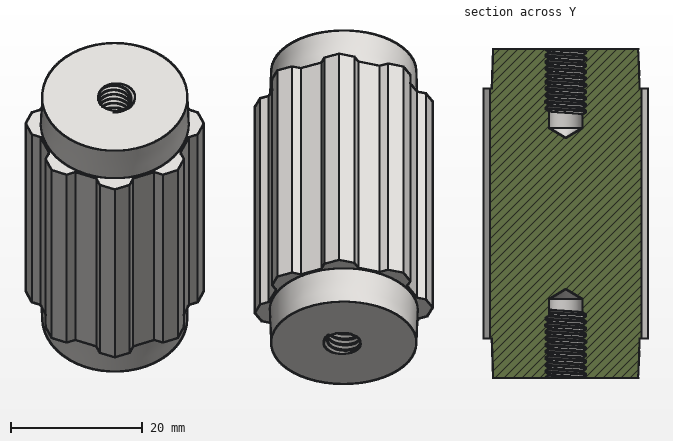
import cadquery as cq
import math

height = 50.0
across_flats = 25.0

side_count = 8
collar_height = 6.0
flute_depth = 1.0
flute_floor_width = 3.45

collar_base_diameter = 22.5
collar_draft_angle = 2.0

thread_minor_diameter = 5.04
thread_major_diameter = 6.15
thread_pitch = 1.0
thread_root_width = 0.125
thread_crest_width = 0.125
thread_length = 10.0
thread_exit_angle = 10.0
thread_overlap = 0.07
hole_depth = 12.0
drill_point_angle = 118.0

side_angle = 360.0 / side_count


def make_grip():
    """Octagonal prism standing between the collars, with its flats square to X and Y."""
    grip_height = height - 2 * collar_height
    across_corners = across_flats / math.cos(math.radians(side_angle / 2))
    octagon = (
        cq.Workplane("XY")
        .polygon(side_count, across_corners)
        .extrude(grip_height)
        .rotate((0, 0, 0), (0, 0, 1), side_angle / 2)
    )
    for side in range(side_count):
        flute = make_flute(grip_height).rotate((0, 0, 0), (0, 0, 1), side * side_angle)
        octagon = octagon.cut(flute)
    return octagon.translate((0, 0, collar_height))


def make_flute(length):
    """Trapezoidal cutter for the flat facing +X, with walls at 45 degrees."""
    mouth_radius = across_flats / 2
    floor_radius = mouth_radius - flute_depth
    half_floor = flute_floor_width / 2
    half_mouth = half_floor + flute_depth
    return (
        cq.Workplane("XY")
        .polyline([
            (floor_radius, -half_floor),
            (mouth_radius, -half_mouth),
            (mouth_radius, half_mouth),
            (floor_radius, half_floor),
        ])
        .close()
        .extrude(length)
    )


def make_core():
    """Both tapered collars, joined by a plain cylinder inside the grip."""
    base_radius = collar_base_diameter / 2
    end_radius = base_radius - collar_height * math.tan(math.radians(collar_draft_angle))
    return (
        cq.Workplane("XZ")
        .polyline([
            (0, 0),
            (end_radius, 0),
            (base_radius, collar_height),
            (base_radius, height - collar_height),
            (end_radius, height),
            (0, height),
        ])
        .close()
        .revolve(360, (0, 0, 0), (0, 1, 0))
    )


def make_drilled_hole():
    """Cutter for the blind hole in the top end, with a conical drill point."""
    radius = thread_minor_diameter / 2
    point_height = radius / math.tan(math.radians(drill_point_angle / 2))
    return (
        cq.Workplane("XZ")
        .polyline([
            (0, height),
            (radius, height),
            (radius, height - hole_depth),
            (0, height - hole_depth - point_height),
        ])
        .close()
        .revolve(360, (0, 0, 0), (0, 1, 0))
    )


def make_thread_groove():
    """Right-hand helical cutter that runs out through the top face."""
    minor_radius = thread_minor_diameter / 2
    inner_radius = minor_radius - thread_overlap
    major_radius = thread_major_diameter / 2
    half_root = thread_root_width / 2
    half_mouth = (thread_pitch - thread_crest_width) / 2
    flank_slope = (half_mouth - half_root) / (major_radius - minor_radius)
    half_inner = half_root + flank_slope * (major_radius - inner_radius)
    helix = cq.Wire.makeHelix(thread_pitch, thread_length + thread_pitch, minor_radius)
    groove = (
        cq.Workplane("XZ")
        .polyline([
            (inner_radius, -half_inner),
            (major_radius, -half_root),
            (major_radius, half_root),
            (inner_radius, half_inner),
        ])
        .close()
        .sweep(cq.Workplane(helix), isFrenet=True)
    )
    placed_groove = (
        groove
        .rotate((0, 0, 0), (0, 0, 1), thread_exit_angle)
        .translate((0, 0, height - thread_length))
    )
    trim_cylinder = cq.Workplane("XY").circle(thread_major_diameter).extrude(height)
    return placed_groove.intersect(trim_cylinder)


body = make_grip().union(make_core())

for end in ("top", "bottom"):
    body = body.cut(make_drilled_hole()).cut(make_thread_groove())
    body = body.rotate((0, 0, height / 2), (1, 0, height / 2), 180)

result = body